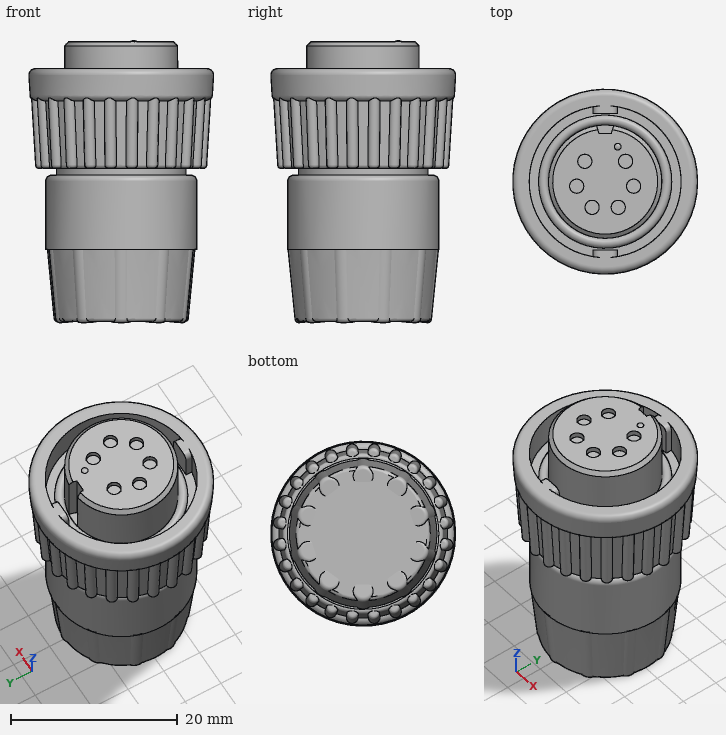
import math

import cadquery as cq

TOTAL_HEIGHT = 33.88
DOT_HEIGHT = 0.13
INSERT_TOP = TOTAL_HEIGHT - DOT_HEIGHT
RING_TOP = 30.53
BAND_BOTTOM = 27.3
RING_BOTTOM = 18.55
SHELL_TOP = 17.73
SHELL_BOTTOM = 8.8
SOCKET_FLOOR = 26.45

GRIP_BOTTOM = 0.15
GRIP_TOP_RADIUS = 8.86
GRIP_BOTTOM_RADIUS = 8.03
GRIP_ROUND = 0.4
GRIP_RIB_COUNT = 10
GRIP_RIB_RADIUS = 1.45
GRIP_RIB_END_ROUND = 0.5
GRIP_RIB_OVERLAP = 0.3
GRIP_RIB_TOP_REACH = 9.03
GRIP_RIB_BOTTOM_REACH = 8.16

SHELL_RADIUS = 9.09
SHELL_ROUND = 0.75
NECK_RADIUS = 7.8

RING_RADIUS = 11.11
RING_TAPER = math.radians(3.5)
RING_ROUND = 0.82
RING_BOTTOM_ROUND = 0.4
BAND_STEP = 0.65
BORE_RADIUS = 9.12
RING_RIB_COUNT = 24
RING_RIB_RADIUS = 0.7
RING_RIB_INSET = 0.09

KEY_WIDTH = 2.92
KEY_ROUND = 0.78
KEY_INNER_RADIUS = 8.2

INSERT_RADIUS = 6.8
INSERT_CHAMFER = 0.5
NOTCH_FLOOR_WIDTH = 1.46
NOTCH_MOUTH_WIDTH = 2.1
NOTCH_FLOOR_OFFSET = 5.76
CONTACT_COUNT = 6
CONTACT_RADIUS = 0.85
CONTACT_DEPTH = 0.7
CONTACT_CIRCLE_RADIUS = 3.46
CONTACT_FIRST_ANGLE = 135
CONTACT_PITCH = 54
DOT_X = 1.51
DOT_Y = 4.2
DOT_RADIUS = 0.4

SEAL_SECTION_RADIUS = 0.6
SEAL_CENTRE_RADIUS = INSERT_RADIUS + SEAL_SECTION_RADIUS


def cylinder(radius, bottom, top):
    return cq.Workplane("XY", origin=(0, 0, bottom)).circle(radius).extrude(top - bottom)


def ring_outer_radius(height):
    """Radius of the tapered ring surface, widest where the top rounding starts."""
    return RING_RADIUS - (RING_TOP - RING_ROUND - height) * math.tan(RING_TAPER)


def leaning_rib(radius, bottom_centre, bottom, top_centre, top, end_round):
    """Round bar in the XZ plane from one point to another, square to its own axis."""
    rise = top - bottom
    spread = top_centre - bottom_centre
    plane = cq.Plane(origin=(bottom_centre, 0, bottom), xDir=(0, 1, 0), normal=(spread, 0, rise))
    bar = cq.Workplane(plane).circle(radius).extrude(math.hypot(rise, spread))
    return bar.edges(cq.selectors.NearestToPointSelector((bottom_centre, 0, bottom))).fillet(end_round)


def add_around(body, feature, count, first_angle):
    copies = []
    for index in range(count):
        angle = first_angle + index * 360 / count
        copies.append(feature.val().rotate(cq.Vector(0, 0, 0), cq.Vector(0, 0, 1), angle))
    return cq.Workplane(body.val().fuse(*copies))


def make_grip():
    grip = (
        cq.Workplane("XY", origin=(0, 0, GRIP_BOTTOM))
        .circle(GRIP_BOTTOM_RADIUS)
        .workplane(offset=SHELL_BOTTOM - GRIP_BOTTOM)
        .circle(GRIP_TOP_RADIUS)
        .loft()
        .faces("<Z")
        .edges()
        .fillet(GRIP_ROUND)
    )
    rib_bottom_centre = GRIP_RIB_BOTTOM_REACH - GRIP_RIB_RADIUS
    rib_top_centre = GRIP_RIB_TOP_REACH - GRIP_RIB_RADIUS
    lean = (rib_top_centre - rib_bottom_centre) / SHELL_BOTTOM
    rib_bottom = (GRIP_RIB_RADIUS - GRIP_RIB_END_ROUND) * lean
    rib = leaning_rib(
        GRIP_RIB_RADIUS,
        rib_bottom_centre,
        rib_bottom,
        rib_top_centre + lean * GRIP_RIB_OVERLAP,
        SHELL_BOTTOM + GRIP_RIB_OVERLAP,
        GRIP_RIB_END_ROUND,
    )
    return add_around(grip, rib, GRIP_RIB_COUNT, -90)


def make_shell():
    shell = cylinder(SHELL_RADIUS, SHELL_BOTTOM, SHELL_TOP).faces(">Z").edges().fillet(SHELL_ROUND)
    return shell.union(cylinder(NECK_RADIUS, SHELL_TOP, RING_BOTTOM))


def make_ring():
    round_start = RING_TOP - RING_ROUND
    band_radius = ring_outer_radius(BAND_BOTTOM)
    step_bottom = BAND_BOTTOM - BAND_STEP
    core_inset = RING_RIB_INSET + RING_RIB_RADIUS
    core_top_radius = ring_outer_radius(step_bottom) - core_inset
    core_bottom_radius = ring_outer_radius(RING_BOTTOM) - core_inset
    diagonal = math.sqrt(0.5)
    body = (
        cq.Workplane("XZ")
        .moveTo(0, RING_BOTTOM)
        .lineTo(core_bottom_radius - RING_BOTTOM_ROUND, RING_BOTTOM)
        .threePointArc(
            (
                core_bottom_radius - RING_BOTTOM_ROUND * (1 - diagonal),
                RING_BOTTOM + RING_BOTTOM_ROUND * (1 - diagonal),
            ),
            (core_bottom_radius, RING_BOTTOM + RING_BOTTOM_ROUND),
        )
        .lineTo(core_top_radius, step_bottom)
        .threePointArc(
            (
                band_radius - (band_radius - core_top_radius) * (1 - diagonal),
                BAND_BOTTOM - BAND_STEP * diagonal,
            ),
            (band_radius, BAND_BOTTOM),
        )
        .lineTo(RING_RADIUS, round_start)
        .threePointArc(
            (RING_RADIUS - RING_ROUND * (1 - diagonal), round_start + RING_ROUND * diagonal),
            (RING_RADIUS - RING_ROUND, RING_TOP),
        )
        .lineTo(0, RING_TOP)
        .close()
        .revolve(360, (0, 0, 0), (0, 1, 0))
    )
    rib = leaning_rib(
        RING_RIB_RADIUS,
        core_bottom_radius,
        RING_BOTTOM,
        ring_outer_radius(BAND_BOTTOM) - core_inset,
        BAND_BOTTOM,
        RING_BOTTOM_ROUND,
    )
    body = add_around(body, rib, RING_RIB_COUNT, 180 / RING_RIB_COUNT)
    return body.cut(cylinder(BORE_RADIUS, SOCKET_FLOOR, RING_TOP))


def make_keys():
    """Two keys on the Y axis, shaped to the bore wall and rounded along their upper sides."""
    key_height = RING_TOP - SOCKET_FLOOR
    bars = (
        cq.Workplane("XY", origin=(0, 0, SOCKET_FLOOR))
        .rect(KEY_WIDTH, 2 * (BORE_RADIUS + RING_ROUND))
        .extrude(key_height)
        .faces(">Z")
        .edges("|Y")
        .fillet(KEY_ROUND)
    )
    gap = (
        cq.Workplane("XY", origin=(0, 0, SOCKET_FLOOR))
        .rect(KEY_WIDTH, 2 * KEY_INNER_RADIUS)
        .extrude(key_height)
    )
    return bars.cut(gap)


def make_insert():
    insert = (
        cylinder(INSERT_RADIUS, SOCKET_FLOOR - SEAL_SECTION_RADIUS, INSERT_TOP)
        .faces(">Z")
        .edges()
        .chamfer(INSERT_CHAMFER)
    )
    notch = (
        cq.Workplane("XY", origin=(0, 0, SOCKET_FLOOR))
        .polyline(
            [
                (-NOTCH_FLOOR_WIDTH / 2, NOTCH_FLOOR_OFFSET),
                (NOTCH_FLOOR_WIDTH / 2, NOTCH_FLOOR_OFFSET),
                (NOTCH_MOUTH_WIDTH / 2, INSERT_RADIUS),
                (-NOTCH_MOUTH_WIDTH / 2, INSERT_RADIUS),
            ]
        )
        .close()
        .extrude(INSERT_TOP - SOCKET_FLOOR)
    )
    contacts = []
    for index in range(CONTACT_COUNT):
        angle = math.radians(CONTACT_FIRST_ANGLE + index * CONTACT_PITCH)
        contacts.append((CONTACT_CIRCLE_RADIUS * math.cos(angle), CONTACT_CIRCLE_RADIUS * math.sin(angle)))
    holes = (
        cq.Workplane("XY", origin=(0, 0, INSERT_TOP - CONTACT_DEPTH))
        .pushPoints(contacts)
        .circle(CONTACT_RADIUS)
        .extrude(CONTACT_DEPTH)
    )
    return insert.cut(notch).cut(holes).union(make_dot())


def make_dot():
    """Low spherical cap marking the first contact."""
    ball_radius = (DOT_RADIUS**2 + DOT_HEIGHT**2) / (2 * DOT_HEIGHT)
    ball = cq.Workplane("XY").sphere(ball_radius)
    return ball.translate((DOT_X, DOT_Y, TOTAL_HEIGHT - ball_radius)).intersect(
        cylinder(INSERT_RADIUS, INSERT_TOP - DOT_HEIGHT, TOTAL_HEIGHT)
    )


def make_seal():
    return cq.Workplane(
        cq.Solid.makeTorus(SEAL_CENTRE_RADIUS, SEAL_SECTION_RADIUS, cq.Vector(0, 0, SOCKET_FLOOR))
    )


result = (
    make_grip()
    .union(make_shell())
    .union(make_ring())
    .union(make_keys())
    .union(make_seal())
    .union(make_insert())
)